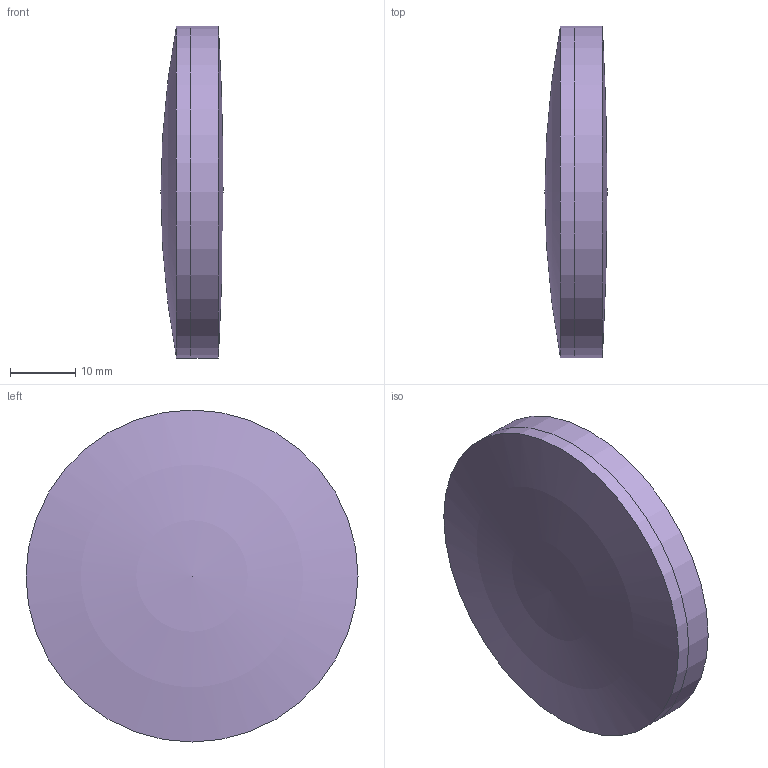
import cadquery as cq
import math

diameter = 50.8
front_center_thickness = 7.5
rear_center_thickness = 2.0
front_radius = 137.1
cemented_radius = 111.7
rear_radius = 459.2

rim = diameter / 2

front_vertex = 0.0
cemented_vertex = front_vertex + front_center_thickness
rear_vertex = cemented_vertex + rear_center_thickness


def sag(radius, height):
    """Depth of a spherical face at a given height from the axis."""
    return radius - math.sqrt(radius**2 - height**2)


def face_points(vertex, radius, bulge):
    """Axis, mid-height and rim points of a face; bulge is -1 toward -X, +1 toward +X."""
    heights = (0.0, rim / 2, rim)
    return [(vertex - bulge * sag(radius, height), height) for height in heights]


def lens_element(left_face, right_face):
    """Revolve the area between two faces, closed by the cylindrical rim."""
    left_axis, left_mid, left_rim = left_face
    right_axis, right_mid, right_rim = right_face
    return (
        cq.Workplane("XZ")
        .moveTo(*left_axis)
        .threePointArc(left_mid, left_rim)
        .lineTo(*right_rim)
        .threePointArc(right_mid, right_axis)
        .close()
        .revolve(360, (0, 0, 0), (1, 0, 0))
    )


front_face = face_points(front_vertex, front_radius, -1)
cemented_face = face_points(cemented_vertex, cemented_radius, 1)
rear_face = face_points(rear_vertex, rear_radius, 1)

front_element = lens_element(front_face, cemented_face)
rear_element = lens_element(cemented_face, rear_face)

result = cq.Compound.makeCompound([front_element.val(), rear_element.val()])